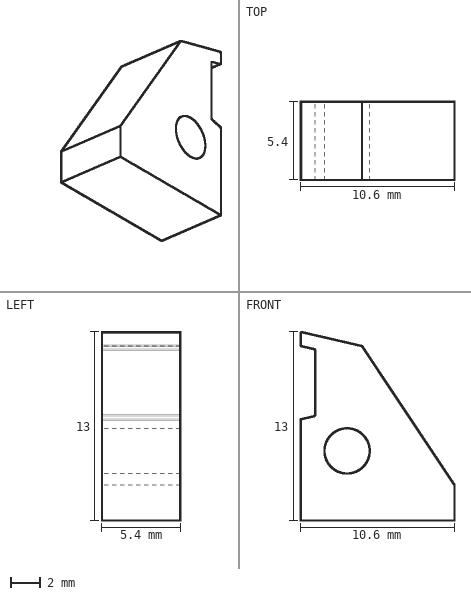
import cadquery as cq
import math

length = 10.6
width = 5.4
height = 12.97

slope_angle = math.radians(13)
peak_x = 4.23
right_wall_height = 2.45

notch_depth = 1.0
notch_bottom_z = 6.98
notch_top_z = 12.01
edge_radius = 0.1

hole_diameter = 3.1
hole_x = 3.2
hole_z = 4.8

notch_rise = notch_depth * math.tan(slope_angle)
tip_round_loss = edge_radius * (math.tan(slope_angle) + 1 / math.cos(slope_angle) - 1)
sharp_top_z = height + tip_round_loss
peak_z = sharp_top_z - peak_x * math.tan(slope_angle)

outline = [
    (0, 0),
    (length, 0),
    (length, right_wall_height),
    (peak_x, peak_z),
    (0, sharp_top_z),
    (0, notch_top_z),
    (notch_depth, notch_top_z - notch_rise),
    (notch_depth, notch_bottom_z + notch_rise),
    (0, notch_bottom_z),
]

body = cq.Workplane("XZ").polyline(outline).close().extrude(-width)

margin = 0.13
notch_region = cq.selectors.BoxSelector(
    (-margin, -margin, notch_bottom_z - margin),
    (notch_depth + margin, width + margin, sharp_top_z + margin),
)
body = body.edges("|Y").edges(notch_region).fillet(edge_radius)

hole = (
    cq.Workplane("XZ")
    .center(hole_x, hole_z)
    .circle(hole_diameter / 2)
    .extrude(-width)
)

result = body.cut(hole)